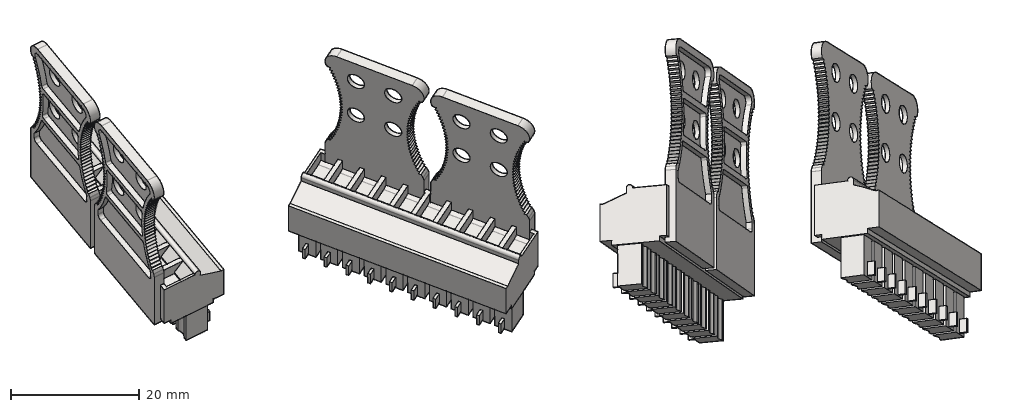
import cadquery as cq
import math


pole_count = 10
housing_length = 38.1
pole_pitch = housing_length / pole_count
pole_wall = 0.4
pole_width = pole_pitch - 2 * pole_wall

housing_front = 1.1
housing_back = 12.2
housing_bottom = 6.55
step_height = 7.35
step_front = 2.35
step_back = 10.25
back_height = 13.35
back_ledge = 0.55
rib_foot_height = 14.8
housing_top = 15.55
rib_front = 6.8
rib_radius = 0.5
rib_back = rib_front + 2 * rib_radius
rib_straight = 0.05
rib_spring_height = housing_top + rib_straight

pocket_ramp_foot = 5.15
pocket_ramp_bottom = 13.75
pocket_floor = 13.48
pocket_sill_depth = 0.8
pocket_sill_rise = 0.25

post_front = 5.45
post_back = 9.42
groove_width = 1.8
groove_radius = 1.5
peg_width = 0.48
peg_back = 10.65
peg_bottom = 0.25
peg_top = 2.45

handle_count = 2
handle_spacing = 18.5
handle_width = 17.35
handle_half = handle_width / 2
handle_thickness = 1.8
handle_bottom = housing_bottom
handle_top = 39.75
corner_radius = 2.05
corner_end_angle = math.radians(210)
shoulder_bottom = 18.52
shoulder_top = 19.35
shoulder_inset = 0.5
shoulder_radius = 1.2

waist_height = 27.95
tip_radius = 18.5
root_radius = 18.9
tip_half_gap = 6.05
waist_center = tip_half_gap + tip_radius
tooth_angle = math.radians(2)
teeth_each_way = 13

recess_depth = 1.0
recess_side_radius = 19.5
recess_corner = 0.4
top_recess_bottom = 31.65
top_recess_top = 38.48
top_recess_corner = 0.9
middle_recess_bottom = 24.55
middle_recess_top = 30.55
low_recess_bottom = 16.45
low_recess_top = 23.57
low_recess_half = 7.6
low_recess_corner = 0.68

hole_diameter = 3.0
hole_offset = 3.25
hole_heights = (27.6, 35.58)


def prism_along_x(section, start, length):
    """Extrudes a closed (Y, Z) section from X = start towards +X."""
    return section.close().extrude(length).translate((start, 0, 0))


def front_plane():
    """(X, Z) sketch plane on the handle front; a negative extrusion goes into the handle."""
    return cq.Workplane("XZ")


def spaced(count, spacing):
    """X positions of equally spaced items, centred on the origin."""
    return [(i - (count - 1) / 2) * spacing for i in range(count)]



def housing_shell():
    rib_middle = rib_front + rib_radius
    rib_arc = rib_radius * math.sqrt(0.5)
    section = (
        cq.Workplane("YZ")
        .moveTo(housing_front, step_height)
        .lineTo(step_front, step_height)
        .lineTo(step_front, housing_bottom)
        .lineTo(step_back, housing_bottom)
        .lineTo(step_back, step_height)
        .lineTo(housing_back, step_height)
        .lineTo(housing_back, back_height)
        .lineTo(housing_back - back_ledge, back_height)
        .lineTo(rib_back, rib_foot_height)
        .lineTo(rib_back, rib_spring_height)
        .threePointArc(
            (rib_middle + rib_arc, rib_spring_height + rib_arc),
            (rib_middle, rib_spring_height + rib_radius),
        )
        .threePointArc(
            (rib_middle - rib_arc, rib_spring_height + rib_arc),
            (rib_front, rib_spring_height),
        )
        .lineTo(rib_front, housing_top)
        .lineTo(housing_front, housing_top)
    )
    return prism_along_x(section, -housing_length / 2, housing_length)


def pocket_cutter(x):
    sill_back = handle_thickness + pocket_sill_depth
    section = cq.Workplane("YZ").polyline([
        (handle_thickness, housing_top),
        (handle_thickness, pocket_floor + pocket_sill_rise),
        (sill_back, pocket_floor),
        (pocket_ramp_foot, pocket_floor),
        (pocket_ramp_foot, pocket_ramp_bottom),
        (rib_front, housing_top),
    ])
    return prism_along_x(section, x - pole_width / 2, pole_width)


def post(x):
    """Post with a shallow round groove down its front and a peg on its back."""
    height = housing_bottom
    half_groove = groove_width / 2
    groove_center = post_front - math.sqrt(groove_radius**2 - half_groove**2)
    body = (
        cq.Workplane("XY")
        .center(x, (post_front + post_back) / 2)
        .rect(pole_width, post_back - post_front)
        .extrude(height)
    )
    groove = cq.Workplane("XY").center(x, groove_center).circle(groove_radius).extrude(height)
    peg = cq.Workplane("XY").box(
        peg_width, peg_back - post_back, peg_top - peg_bottom, centered=(True, False, False)
    ).translate((x, post_back, peg_bottom))
    return body.cut(groove).union(peg)


def handle_seat(x):
    """Recess in the housing front that takes one handle."""
    return cq.Workplane("XY").box(
        handle_width, handle_thickness, housing_top, centered=(True, False, False)
    ).translate((x, 0, 0))


def make_housing():
    body = housing_shell()
    for x in spaced(pole_count, pole_pitch):
        body = body.cut(pocket_cutter(x)).union(post(x))
    for x in spaced(handle_count, handle_spacing):
        body = body.cut(handle_seat(x))
    return body



def waist_point(radius, angle):
    """Point on the left waist circle, at an angle above the waist."""
    return (-waist_center + radius * math.cos(angle), waist_height + radius * math.sin(angle))


def tooth_points():
    """Left side from the lowest root to the highest, root and tip in turn."""
    points = []
    for i in range(-teeth_each_way, teeth_each_way + 1):
        points.append(waist_point(root_radius, (i - 0.5) * tooth_angle))
        points.append(waist_point(tip_radius, i * tooth_angle))
    points.append(waist_point(root_radius, (teeth_each_way + 0.5) * tooth_angle))
    return points


def corner_point(angle):
    """Point on the rounded top left corner."""
    return (
        -handle_half + corner_radius + corner_radius * math.cos(angle),
        handle_top - corner_radius + corner_radius * math.sin(angle),
    )


def handle_blank():
    """Outline of one half, mirrored to the other side."""
    top_angle = math.pi / 2
    half = (
        front_plane()
        .moveTo(0, handle_bottom)
        .lineTo(-handle_half, handle_bottom)
        .lineTo(-handle_half, shoulder_bottom)
        .lineTo(-handle_half + shoulder_inset, shoulder_top)
    )
    for point in tooth_points():
        half = half.lineTo(*point)
    half = (
        half.lineTo(*corner_point(corner_end_angle))
        .threePointArc(corner_point((corner_end_angle + top_angle) / 2), corner_point(top_angle))
        .lineTo(0, handle_top)
        .close()
        .extrude(-handle_thickness)
    )
    shoulder = cq.selectors.NearestToPointSelector(
        (-handle_half, handle_thickness / 2, shoulder_bottom)
    )
    half = half.edges(shoulder).fillet(shoulder_radius)
    return half.union(half.mirror("YZ"))


def recess_side_x(z):
    """Half-width of a recess at height z, where its side follows the waist."""
    return waist_center - math.sqrt(recess_side_radius**2 - (z - waist_height) ** 2)


def recess(bottom, top, bottom_corner, top_corner, largest_half=handle_half):
    """Recess with curved sides, which stop at largest_half and go straight down from there."""
    arc_bottom = bottom
    if recess_side_x(bottom) > largest_half:
        drop = math.sqrt(recess_side_radius**2 - (waist_center - largest_half) ** 2)
        arc_bottom = waist_height - drop
    arc_middle = (arc_bottom + top) / 2
    low_half = recess_side_x(arc_bottom)
    outline = front_plane().moveTo(-low_half, bottom).lineTo(low_half, bottom)
    if arc_bottom > bottom:
        outline = outline.lineTo(low_half, arc_bottom)
    outline = (
        outline.threePointArc((recess_side_x(arc_middle), arc_middle), (recess_side_x(top), top))
        .lineTo(-recess_side_x(top), top)
        .threePointArc((-recess_side_x(arc_middle), arc_middle), (-low_half, arc_bottom))
    )
    cutter = outline.close().extrude(-recess_depth)
    for height, half_width, radius in (
        (bottom, low_half, bottom_corner),
        (top, recess_side_x(top), top_corner),
    ):
        for x in (-half_width, half_width):
            corner = cq.selectors.NearestToPointSelector((x, recess_depth / 2, height))
            cutter = cutter.edges(corner).fillet(radius)
    return cutter


def make_handle(x):
    recesses = (
        recess(top_recess_bottom, top_recess_top, recess_corner, top_recess_corner),
        recess(middle_recess_bottom, middle_recess_top, recess_corner, recess_corner),
        recess(low_recess_bottom, low_recess_top, low_recess_corner, recess_corner, low_recess_half),
    )
    hole_places = [(side * hole_offset, z) for z in hole_heights for side in (-1, 1)]
    holes = front_plane().pushPoints(hole_places).circle(hole_diameter / 2).extrude(-handle_thickness)
    body = handle_blank().cut(holes)
    for pocket in recesses:
        body = body.cut(pocket)
    return body.translate((x, 0, 0))



housing = make_housing()
handles = [make_handle(x) for x in spaced(handle_count, handle_spacing)]
result = cq.Compound.makeCompound([housing.val(), *[handle.val() for handle in handles]])